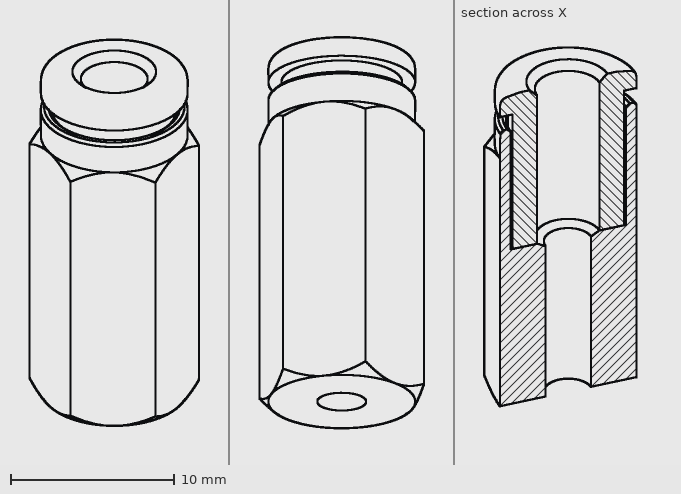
import cadquery as cq
import math

total_height = 22.5
across_flats = 9.0
across_corners = across_flats / math.cos(math.pi / 6)

hex_height = 18.0
collar_diameter = across_flats
collar_top = 20.0
collar_chamfer = 0.2
corner_chamfer = (across_corners - collar_diameter) / 2

neck_diameter = 7.4
flange_bottom = 20.97
flange_diameter = across_flats
flange_rim_radius = 0.5
top_flat_diameter = 6.4
crown_drop = 0.22

tube_diameter = 4.1
tube_countersink = 0.52
through_diameter = 3.0
seat_angle = 30.0

recess_diameter = 7.6
recess_floor = 11.25
recess_mouth_chamfer = 0.22


def cylinder(diameter, bottom, top):
    """Upright cylinder on the Z axis between two heights."""
    return cq.Workplane("XY").workplane(offset=bottom).circle(diameter / 2).extrude(top - bottom)


def revolve_profile(points):
    """Solid of revolution about Z from (radius, height) points."""
    return cq.Workplane("XZ").polyline(points).close().revolve(360, (0, 0, 0), (0, 1, 0))


def make_hexagon():
    """Hexagonal prism whose corners are bevelled by a cone at both ends."""
    prism = cq.Workplane("XY").polygon(6, across_corners).extrude(hex_height)
    envelope = cylinder(across_corners, 0, hex_height).faces("<Z or >Z").chamfer(corner_chamfer)
    return prism.intersect(envelope)


def make_housing_bore():
    """Chamfered recess for the sleeve, stepping down to the conical tube seat and the through hole."""
    recess_radius = recess_diameter / 2
    tube_radius = tube_diameter / 2
    through_radius = through_diameter / 2
    seat_drop = (tube_radius - through_radius) * math.tan(math.radians(seat_angle))
    return revolve_profile([
        (0, 0),
        (through_radius, 0),
        (through_radius, recess_floor - seat_drop),
        (tube_radius, recess_floor),
        (recess_radius, recess_floor),
        (recess_radius, collar_top - recess_mouth_chamfer),
        (recess_radius + recess_mouth_chamfer, collar_top),
        (0, collar_top),
    ])


def make_housing():
    collar = cylinder(collar_diameter, hex_height, collar_top).faces(">Z").chamfer(collar_chamfer)
    return make_hexagon().union(collar).cut(make_housing_bore())


def make_sleeve():
    """Sleeve standing on the recess floor, with a rounded rim and a countersunk bore."""
    rim_height = total_height - crown_drop
    flange = revolve_profile([
        (0, flange_bottom),
        (flange_diameter / 2, flange_bottom),
        (flange_diameter / 2, rim_height),
        (top_flat_diameter / 2, total_height),
        (0, total_height),
    ])
    rim = flange.edges(cq.selectors.RadiusNthSelector(-1)).edges(">Z")
    flange = rim.fillet(flange_rim_radius)
    neck = cylinder(neck_diameter, recess_floor, flange_bottom)
    bore = cylinder(tube_diameter, recess_floor, total_height)
    sleeve = neck.union(flange).cut(bore)
    return sleeve.faces(">Z").edges(cq.selectors.RadiusNthSelector(0)).chamfer(tube_countersink)


housing = make_housing()
sleeve = make_sleeve()

result = cq.Compound.makeCompound([housing.val(), sleeve.val()])